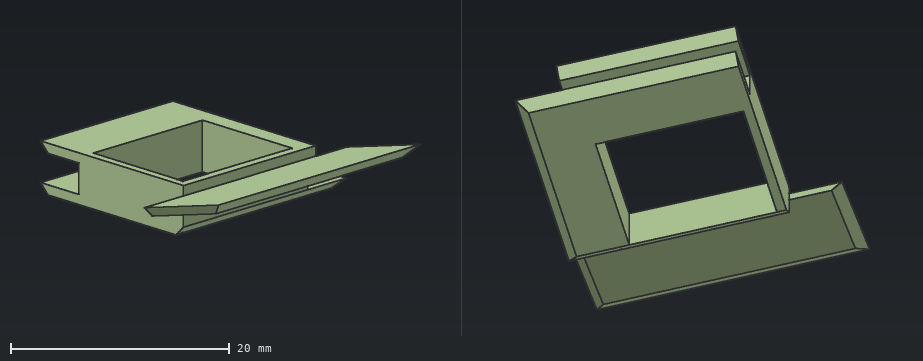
import cadquery as cq
import math

body_length = 18.7
base_width = 20.9
plate_thickness = 1.0
gap_height = 3.0
body_height = gap_height + 2 * plate_thickness
slot_depth = 5.0
top_width = 17.0
core_width = base_width - slot_depth

window_length = 11.7
window_width = 14.0
window_wall = 1.0
window_front_wall = core_width - window_wall - window_width

flap_length = 10.0
flap_width = 25.9
flap_angle = math.radians(14.35)
flap_root_z = body_height - plate_thickness

bevel = plate_thickness


def xz_prism(points, y_start, width):
    """Extrude an XZ outline from y_start toward +Y."""
    return cq.Workplane("XZ", origin=(0, y_start, 0)).polyline(points).close().extrude(-width)


def bevelled_section(plane, y_front, y_back, front_bevel):
    """Plate cross-section with its top at the plane's origin and its lower edges drawn in."""
    outline = [
        (y_front, 0),
        (y_back, 0),
        (y_back - bevel, -plate_thickness),
        (y_front + front_bevel, -plate_thickness),
    ]
    return cq.Workplane(plane).polyline(outline).close()


def make_base_plate():
    outline = [
        (0, plate_thickness),
        (bevel, 0),
        (body_length - bevel, 0),
        (body_length, plate_thickness),
    ]
    section_plane = cq.Plane(origin=(0, 0, plate_thickness), xDir=(0, 1, 0), normal=(1, 0, 0))
    bar = bevelled_section(section_plane, 0, base_width, front_bevel=0).extrude(body_length)
    return bar.intersect(xz_prism(outline, 0, base_width))


def make_core():
    core_length = body_length - slot_depth
    core = cq.Workplane("XY").box(core_length, core_width, gap_height, centered=False)
    return core.translate((slot_depth, 0, plate_thickness))


def make_top_plate():
    outline = [
        (0, body_height),
        (bevel, body_height - plate_thickness),
        (body_length, body_height - plate_thickness),
        (body_length, body_height),
    ]
    return xz_prism(outline, 0, top_width)


def make_window():
    window = cq.Workplane("XY").box(window_length, window_width, body_height, centered=False)
    window_x = body_length - window_wall - window_length
    return window.translate((window_x, window_front_wall, 0))


def make_flap():
    """Tilted plate with a vertical root face, a 45 degree tip and bevelled sides."""
    cosine = math.cos(flap_angle)
    sine = math.sin(flap_angle)
    tip_x = body_length + flap_length * cosine
    tip_z = flap_root_z + flap_length * sine
    tip_setback = plate_thickness / (cosine - sine)
    outline = [
        (body_length, flap_root_z),
        (body_length, flap_root_z - plate_thickness / cosine),
        (tip_x - tip_setback, tip_z - tip_setback),
        (tip_x, tip_z),
    ]

    root_overlap = plate_thickness * math.tan(flap_angle)
    start = (body_length - root_overlap * cosine, 0, flap_root_z - root_overlap * sine)
    section_plane = cq.Plane(origin=start, xDir=(0, 1, 0), normal=(cosine, 0, sine))
    y_front = base_width - flap_width
    section = bevelled_section(section_plane, y_front, base_width, front_bevel=bevel)
    bar = section.extrude(root_overlap + flap_length)
    return bar.intersect(xz_prism(outline, y_front, flap_width))


result = (
    make_base_plate()
    .union(make_core())
    .union(make_top_plate())
    .cut(make_window())
    .union(make_flap())
)